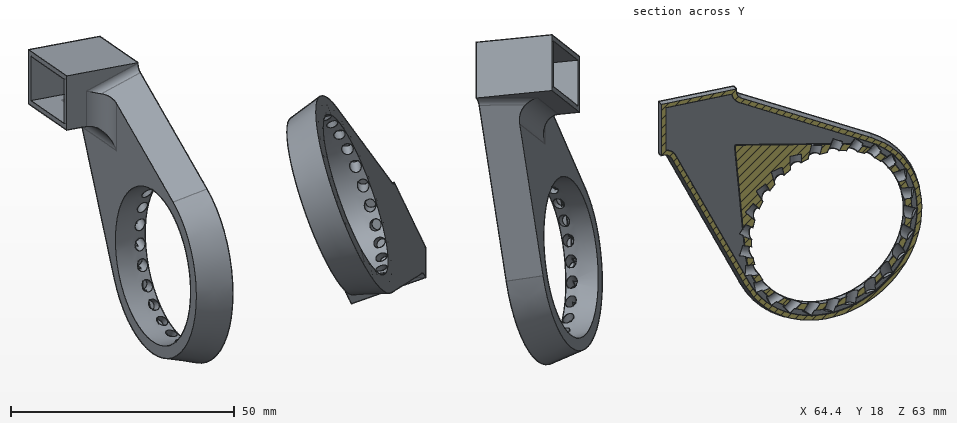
import cadquery as cq
import math

WALL = 1.2
RING_DEPTH = 8.0
RING_RADIUS = 23.4
BORE_RADIUS = 18.15
BORE_TAPER = 6.0
BORE_BACK_RADIUS = BORE_RADIUS + RING_DEPTH * math.tan(math.radians(BORE_TAPER))
TAPER = 16.7
UPPER_SIDE_ANGLE = 62.4
LOWER_SIDE_ANGLE = 206.7

TOTAL_WIDTH = 64.41
TOTAL_HEIGHT = 63.0
BOX_WIDTH = 18.5
BOX_HEIGHT = 13.0
BOX_DEPTH = 18.0
BOX_LEFT = RING_RADIUS - TOTAL_WIDTH
BOX_RIGHT = BOX_LEFT + BOX_WIDTH
BOX_TOP = TOTAL_HEIGHT - RING_RADIUS
BOX_BOTTOM = BOX_TOP - BOX_HEIGHT

FACE_BLEND = 5.0
SIDE_BLEND = 2.0

HOLE_DIAMETER = 2.6
HOLE_COUNT = 25
HOLE_SETBACK = 1.5
HOLE_LEAN = 25.0
HOLE_REACH = 0.8

CORE_RADIUS = 20.5
NOSE_RADIUS = 0.5
NOSE_DISTANCE = 33.5
NOSE_ANGLE = 132.0

BLEND_FRONT = -RING_DEPTH - FACE_BLEND
PICK_MARGIN = 0.05


def xz_plane(y):
    """Sketch plane at the given Y whose extrusions run towards -Y."""
    return cq.Workplane("XZ", origin=(0, y, 0))


def polar(distance, degrees):
    """X and Z of the point at a distance from the ring axis, at an angle from +X."""
    angle = math.radians(degrees)
    return distance * math.cos(angle), distance * math.sin(angle)


def box_block(inset, front):
    """Box shrunk by inset on its sides and back, reaching forward to Y = front."""
    return (
        xz_plane(-inset)
        .moveTo((BOX_LEFT + BOX_RIGHT) / 2, (BOX_TOP + BOX_BOTTOM) / 2)
        .rect(BOX_WIDTH - 2 * inset, BOX_HEIGHT - 2 * inset)
        .extrude(-inset - front)
    )


def tapered_arm(inset, front):
    """Disc with two tangent sides that end inside the box, tapered and shrunk by inset."""
    taper = math.radians(TAPER)
    radius = RING_RADIUS - inset * math.tan(taper) - inset / math.cos(taper)

    left = BOX_LEFT + inset
    top = BOX_TOP - inset
    upper = polar(radius, UPPER_SIDE_ANGLE)
    lower = polar(radius, LOWER_SIDE_ANGLE)
    far_point = polar(radius, (UPPER_SIDE_ANGLE + LOWER_SIDE_ANGLE) / 2 + 180)
    upper_end_x = (radius**2 - top * upper[1]) / upper[0]
    lower_end_z = (radius**2 - left * lower[0]) / lower[1]
    return (
        xz_plane(-inset)
        .moveTo(*upper)
        .lineTo(upper_end_x, top)
        .lineTo(left, top)
        .lineTo(left, lower_end_z)
        .lineTo(*lower)
        .threePointArc(far_point, upper)
        .close()
        .extrude(-inset - front, taper=TAPER)
    )


def blend_side_corners(body, inset):
    """Round the two corners where the arm sides run into the box."""
    right = BOX_RIGHT - inset
    bottom = BOX_BOTTOM + inset
    y_low = BLEND_FRONT - PICK_MARGIN
    y_high = PICK_MARGIN
    upper_corner = cq.selectors.BoxSelector(
        (right - PICK_MARGIN, y_low, bottom + PICK_MARGIN),
        (right + PICK_MARGIN, y_high, BOX_TOP - inset - PICK_MARGIN),
        boundingbox=True,
    )
    lower_corner = cq.selectors.BoxSelector(
        (BOX_LEFT + inset + PICK_MARGIN, y_low, bottom - PICK_MARGIN),
        (right - PICK_MARGIN, y_high, bottom + PICK_MARGIN),
        boundingbox=True,
    )
    return body.edges(upper_corner + lower_corner).fillet(SIDE_BLEND + inset)


def blend_envelope(plane, inset, box_wall, outward):
    """Space behind the arm front and behind the concave sweep up to one box wall.

    The profile lies in the XY or YZ plane; box_wall is the wall's X or Z, and
    outward is the sign of the direction from that wall towards the ring.
    """
    reach = 2 * TOTAL_WIDTH
    arm_front = inset - RING_DEPTH
    box_front = arm_front - FACE_BLEND
    arc_drop = FACE_BLEND * (1 - math.sqrt(0.5))

    def point(distance, y):
        across = box_wall + outward * distance
        return (across, y) if plane == "XY" else (y, across)

    return (
        cq.Workplane(plane)
        .moveTo(*point(-reach, 0))
        .lineTo(*point(-reach, box_front))
        .lineTo(*point(0, box_front))
        .threePointArc(point(arc_drop, arm_front - arc_drop), point(FACE_BLEND, arm_front))
        .lineTo(*point(reach, arm_front))
        .lineTo(*point(reach, 0))
        .close()
        .extrude(reach, both=True)
    )


def blended_body(inset):
    """Arm and box joined by the blends, all shrunk by inset, open to the box front."""
    body = tapered_arm(inset, BLEND_FRONT).union(box_block(inset, BLEND_FRONT))
    body = blend_side_corners(body, inset)
    body = body.intersect(blend_envelope("XY", inset, BOX_RIGHT - inset, 1))
    body = body.intersect(blend_envelope("YZ", inset, BOX_BOTTOM + inset, -1))
    return body.union(box_block(inset, -BOX_DEPTH))


def teardrop_core():
    """Round core with two tangent flanks closing on a small round nose."""
    half_spread = math.degrees(math.acos((CORE_RADIUS - NOSE_RADIUS) / NOSE_DISTANCE))
    upper = NOSE_ANGLE - half_spread
    lower = NOSE_ANGLE + half_spread
    nose_x, nose_z = polar(NOSE_DISTANCE, NOSE_ANGLE)

    def on_nose(degrees):
        x, z = polar(NOSE_RADIUS, degrees)
        return nose_x + x, nose_z + z

    return (
        xz_plane(0)
        .moveTo(*polar(CORE_RADIUS, lower))
        .threePointArc(polar(CORE_RADIUS, NOSE_ANGLE + 180), polar(CORE_RADIUS, upper))
        .lineTo(*on_nose(upper))
        .threePointArc(on_nose(NOSE_ANGLE), on_nose(lower))
        .close()
        .extrude(RING_DEPTH - WALL)
    )


def bore_holes():
    """Leaning drills that run from inside the bore into the duct around the core."""
    mouth_radius = BORE_BACK_RADIUS - HOLE_SETBACK * math.tan(math.radians(BORE_TAPER))
    length = (CORE_RADIUS + HOLE_REACH - mouth_radius) / math.cos(math.radians(HOLE_LEAN))
    mouth = (mouth_radius, -HOLE_SETBACK, 0)
    mouth_at_back = (mouth_radius, 0, 0)
    drill = cq.Workplane("YZ", origin=mouth).workplane(offset=-HOLE_DIAMETER / 2)
    drill = drill.circle(HOLE_DIAMETER / 2).extrude(length + HOLE_DIAMETER / 2)
    drill = drill.rotate(mouth, mouth_at_back, HOLE_LEAN)
    holes = cq.Workplane()
    for index in range(HOLE_COUNT):
        angle = index * 360 / HOLE_COUNT
        holes = holes.add(drill.rotate((0, 0, 0), (0, 1, 0), angle))
    return holes.combine()


bore = xz_plane(0).circle(BORE_BACK_RADIUS).extrude(RING_DEPTH, taper=BORE_TAPER)
duct = blended_body(WALL).cut(teardrop_core())

result = blended_body(0).cut(duct).cut(bore).cut(bore_holes())